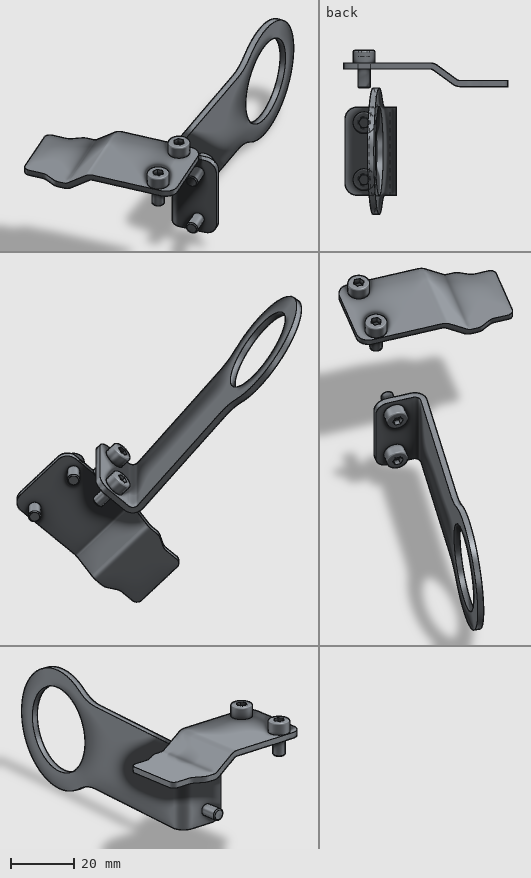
import cadquery as cq
import math


SHEET = 2.0
BEND_INNER = 2.0
BEND_OUTER = BEND_INNER + SHEET
CORNER_RADIUS = 4.0

SHANK_DIAMETER = 4.0
SHANK_LENGTH = 8.0
TIP_CHAMFER = 0.4
HEAD_DIAMETER = 7.0
HEAD_HEIGHT = 4.0
HEAD_FILLET = 0.6
SOCKET_FLATS = 3.0
SOCKET_DEPTH = 2.0
SCREW_SPACING = 18.0
SCREW_X = 45.5
SHANK_PROTRUSION = SHANK_LENGTH - SHEET

RING_DIAMETER = 40.0
RING_HOLE_DIAMETER = 28.2
ARM_WIDTH = 28.0
NECK_RADIUS = 15.0
ARM_LEAN = 5.0
ARM_TO_RING_CENTRE = 61.7
FLANGE_END_X = 51.6
FLANGE_BEND_X = 39.3

TAB_PLATE_LENGTH = 52.0
TAB_PLATE_WIDTH = 25.5
TAB_PLATE_FRONT_Y = -38.7
TAB_PLATE_CENTRE_Y = TAB_PLATE_FRONT_Y + TAB_PLATE_WIDTH / 2
TAB_WIDTH = 20.5
TAB_CORNER_RADIUS = 2.0
SHOULDER_START_X = 7.6
SHOULDER_END_X = 12.0
SHOULDER_RADIUS = 4.0
RAMP_START_X = 15.0
RAMP_ANGLE = 36.0
DECK_RISE = 5.6
DECK_UNDERSIDE_Z = RING_DIAMETER / 2 + SHANK_PROTRUSION


def polar(centre, radius, degrees):
    """Point on a circle at the given angle."""
    angle = math.radians(degrees)
    return (centre[0] + radius * math.cos(angle), centre[1] + radius * math.sin(angle))


def seat_plane(x, y, z, axis):
    """Plane on the face under a screw head, with its normal towards the head."""
    return cq.Plane(origin=(x, y, z), xDir=(1, 0, 0), normal=axis)


def make_screw(seat):
    """Socket-head screw whose head sits on the seat plane."""
    towards_head = cq.selectors.DirectionMinMaxSelector(seat.zDir, True)
    towards_tip = cq.selectors.DirectionMinMaxSelector(seat.zDir, False)

    shank = cq.Workplane(seat).circle(SHANK_DIAMETER / 2).extrude(-SHANK_LENGTH)
    shank = shank.faces(towards_tip).chamfer(TIP_CHAMFER)

    head = cq.Workplane(seat).circle(HEAD_DIAMETER / 2).extrude(HEAD_HEIGHT)
    head = head.faces(towards_head).edges().fillet(HEAD_FILLET)

    socket_corners = SOCKET_FLATS / math.cos(math.pi / 6)
    socket = (
        cq.Workplane(seat)
        .workplane(offset=HEAD_HEIGHT)
        .polygon(6, socket_corners)
        .extrude(-SOCKET_DEPTH)
    )
    return head.union(shank).cut(socket)


def screw_hole(seat):
    """Cutter for the hole that a screw shank fills in the sheet."""
    return cq.Workplane(seat).circle(SHANK_DIAMETER / 2).extrude(-SHEET)


def make_flange():
    """Flat flange and its bend, up to the start of the arm."""
    bend_centre = (FLANGE_BEND_X, BEND_OUTER)
    bend_start = 270
    bend_end = 180 - ARM_LEAN
    bend_middle = (bend_start + bend_end) / 2
    return (
        cq.Workplane("XY")
        .workplane(offset=-ARM_WIDTH / 2)
        .moveTo(FLANGE_END_X, 0)
        .lineTo(FLANGE_BEND_X, 0)
        .threePointArc(polar(bend_centre, BEND_OUTER, bend_middle), polar(bend_centre, BEND_OUTER, bend_end))
        .lineTo(*polar(bend_centre, BEND_INNER, bend_end))
        .threePointArc(polar(bend_centre, BEND_INNER, bend_middle), (FLANGE_BEND_X, SHEET))
        .lineTo(FLANGE_END_X, SHEET)
        .close()
        .extrude(ARM_WIDTH)
        .edges("|Y and >X")
        .fillet(CORNER_RADIUS)
    )


def make_arm():
    """Leaning arm that widens through two concave necks into the ring."""
    lean = math.radians(ARM_LEAN)
    arm_start = polar((FLANGE_BEND_X, BEND_OUTER), BEND_OUTER, 180 - ARM_LEAN)
    outer_face = cq.Plane(
        origin=(arm_start[0], arm_start[1], 0),
        xDir=(math.sin(lean), math.cos(lean), 0),
        normal=(math.cos(lean), -math.sin(lean), 0),
    )
    half_width = ARM_WIDTH / 2
    ring_radius = RING_DIAMETER / 2
    centre_distance = ring_radius + NECK_RADIUS
    neck_offset = math.sqrt(centre_distance**2 - (half_width + NECK_RADIUS) ** 2)
    rim_share = ring_radius / centre_distance
    neck_start = ARM_TO_RING_CENTRE - neck_offset
    neck_end = ARM_TO_RING_CENTRE - neck_offset * rim_share
    rim_height = (half_width + NECK_RADIUS) * rim_share
    blank = (
        cq.Workplane(outer_face)
        .moveTo(0, -half_width)
        .lineTo(0, half_width)
        .lineTo(neck_start, half_width)
        .tangentArcPoint((neck_end, rim_height), relative=False)
        .threePointArc((ARM_TO_RING_CENTRE + ring_radius, 0), (neck_end, -rim_height))
        .tangentArcPoint((neck_start, -half_width), relative=False)
        .close()
        .extrude(SHEET)
    )
    hole = (
        cq.Workplane(outer_face)
        .center(ARM_TO_RING_CENTRE, 0)
        .circle(RING_HOLE_DIAMETER / 2)
        .extrude(SHEET)
    )
    return blank.cut(hole)


def make_ring_plate(seats):
    """Flange, bend and ring arm as one sheet, with the screw holes."""
    plate = make_flange().union(make_arm())
    for seat in seats:
        plate = plate.cut(screw_hole(seat))
    return plate


def make_tab_profile():
    """Side profile of the tab plate, extruded over its full width."""
    angle = math.radians(RAMP_ANGLE)
    ramp_rise = DECK_RISE - (BEND_INNER + BEND_OUTER) * (1 - math.cos(angle))
    ramp_run = ramp_rise / math.tan(angle)
    deck_start_x = RAMP_START_X + (BEND_INNER + BEND_OUTER) * math.sin(angle) + ramp_run

    tab_bottom = DECK_UNDERSIDE_Z - DECK_RISE
    tab_top = tab_bottom + SHEET
    deck_top = DECK_UNDERSIDE_Z + SHEET
    lower_centre = (RAMP_START_X, tab_top + BEND_INNER)
    upper_centre = (deck_start_x, DECK_UNDERSIDE_Z - BEND_INNER)
    lower_end = 270 + RAMP_ANGLE
    lower_middle = 270 + RAMP_ANGLE / 2
    upper_end = 90 + RAMP_ANGLE
    upper_middle = 90 + RAMP_ANGLE / 2

    return (
        cq.Workplane("XZ", origin=(0, TAB_PLATE_FRONT_Y, 0))
        .moveTo(0, tab_top)
        .lineTo(RAMP_START_X, tab_top)
        .threePointArc(polar(lower_centre, BEND_INNER, lower_middle), polar(lower_centre, BEND_INNER, lower_end))
        .lineTo(*polar(upper_centre, BEND_OUTER, upper_end))
        .threePointArc(polar(upper_centre, BEND_OUTER, upper_middle), (deck_start_x, deck_top))
        .lineTo(TAB_PLATE_LENGTH, deck_top)
        .lineTo(TAB_PLATE_LENGTH, DECK_UNDERSIDE_Z)
        .lineTo(deck_start_x, DECK_UNDERSIDE_Z)
        .threePointArc(polar(upper_centre, BEND_INNER, upper_middle), polar(upper_centre, BEND_INNER, upper_end))
        .lineTo(*polar(lower_centre, BEND_OUTER, lower_end))
        .threePointArc(polar(lower_centre, BEND_OUTER, lower_middle), (RAMP_START_X, tab_bottom))
        .lineTo(0, tab_bottom)
        .close()
        .extrude(-TAB_PLATE_WIDTH)
    )


def make_tab_outline():
    """Plan outline of the tab plate as a block that encloses its whole height."""
    half_tab = TAB_WIDTH / 2
    half_plate = TAB_PLATE_WIDTH / 2
    block = (
        cq.Workplane("XY", origin=(0, TAB_PLATE_CENTRE_Y, DECK_UNDERSIDE_Z - DECK_RISE))
        .lineTo(0, half_tab)
        .lineTo(SHOULDER_START_X, half_tab)
        .lineTo(SHOULDER_END_X, half_plate)
        .lineTo(TAB_PLATE_LENGTH, half_plate)
        .lineTo(TAB_PLATE_LENGTH, 0)
        .mirrorX()
        .extrude(DECK_RISE + SHEET)
    )
    block = block.edges("|Z and <X").fillet(TAB_CORNER_RADIUS)
    block = block.edges("|Z and >X").fillet(CORNER_RADIUS)
    shoulder_zone = cq.selectors.BoxSelector(
        (SHOULDER_START_X - SHEET, TAB_PLATE_FRONT_Y - SHEET, 0),
        (SHOULDER_END_X + SHEET, TAB_PLATE_FRONT_Y + TAB_PLATE_WIDTH + SHEET, 2 * DECK_UNDERSIDE_Z),
    )
    return block.edges("|Z").edges(shoulder_zone).fillet(SHOULDER_RADIUS)


def make_tab_plate(seats):
    """Bent profile trimmed to the plan outline, with the screw holes."""
    plate = make_tab_profile().intersect(make_tab_outline())
    for seat in seats:
        plate = plate.cut(screw_hole(seat))
    return plate


screw_offsets = (-SCREW_SPACING / 2, SCREW_SPACING / 2)
flange_seats = [seat_plane(SCREW_X, SHEET, offset, (0, 1, 0)) for offset in screw_offsets]
deck_seats = [
    seat_plane(SCREW_X, TAB_PLATE_CENTRE_Y + offset, DECK_UNDERSIDE_Z + SHEET, (0, 0, 1))
    for offset in screw_offsets
]

ring_plate = make_ring_plate(flange_seats)
tab_plate = make_tab_plate(deck_seats)
screws = [make_screw(seat) for seat in flange_seats + deck_seats]

result = cq.Compound.makeCompound(
    [ring_plate.val(), tab_plate.val(), *[screw.val() for screw in screws]]
)